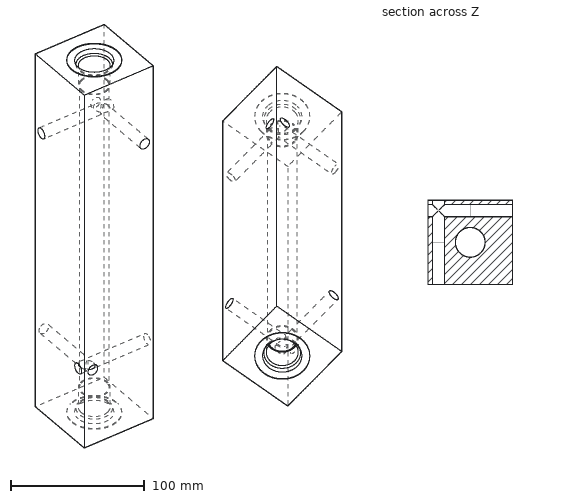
import cadquery as cq

length = 330.2
width = 63.5

bore_diameter = 22.0
cone_top_diameter = 29.5
cone_bottom_diameter = 27.5
cone_depth = 3.5
chamfer_depth = 1.0
port_diameter = 23.8
port_depth = 23.0
spotface_diameter = 41.3
spotface_depth = 0.5

mount_hole_diameter = 9.0
mount_hole_edge_distance = 8.0
mount_hole_end_distance = 69.7
mount_offset = width / 2 - mount_hole_edge_distance
mount_height = length / 2 - mount_hole_end_distance


def port_cutter():
    """Revolved cutter for the port in the top end of the bar."""
    top = length / 2
    spotface_floor = top - spotface_depth
    cone_bottom = spotface_floor - cone_depth
    chamfer_bottom = cone_bottom - chamfer_depth
    port_floor = spotface_floor - port_depth
    return (
        cq.Workplane("XZ")
        .moveTo(0, top)
        .lineTo(spotface_diameter / 2, top)
        .lineTo(spotface_diameter / 2, spotface_floor)
        .lineTo(cone_top_diameter / 2, spotface_floor)
        .lineTo(cone_bottom_diameter / 2, cone_bottom)
        .lineTo(port_diameter / 2, chamfer_bottom)
        .lineTo(port_diameter / 2, port_floor)
        .lineTo(0, port_floor)
        .close()
        .revolve(360, (0, 0, 0), (0, 1, 0))
    )


def mount_holes(plane):
    """Pair of holes right through the bar, normal to the given side plane."""
    return (
        cq.Workplane(plane)
        .pushPoints([(-mount_offset, mount_height), (mount_offset, -mount_height)])
        .circle(mount_hole_diameter / 2)
        .extrude(width, both=True)
    )


bar = cq.Workplane("XY").box(width, width, length)
bore = cq.Workplane("XY").circle(bore_diameter / 2).extrude(length, both=True)
top_port = port_cutter()
bottom_port = top_port.mirror("XY")

result = bar.cut(bore).cut(top_port).cut(bottom_port)

result = result.cut(mount_holes("XZ"))
result = result.cut(mount_holes("YZ").mirror("XZ"))